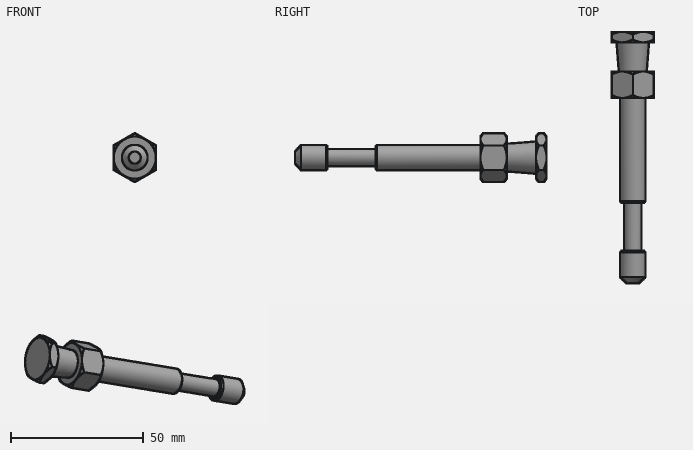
import cadquery as cq
import math

total_length = 95.0
hex_across_flats = 16.0
corner_bevel_depth = 1.0

head_thickness = 4.0
nut_start = 15.0
nut_thickness = 10.0

collar_large_radius = 6.2
collar_small_radius = 5.3

shaft_radius = 4.8
shaft_end = 64.6
neck_radius = 3.3
tip_start = 82.65
edge_chamfer = 0.7
nose_length = 2.4
nose_radius = 2.3

head_face_y = total_length / 2


def beveled_hexagon(start, thickness):
    """Hexagonal prism with corners on +Z and -Z and both ends turned conically."""
    face_radius = hex_across_flats / 2
    corner_radius = face_radius / math.cos(math.pi / 6)
    prism = (
        cq.Workplane("XZ", origin=(0, head_face_y - start, 0))
        .transformed(rotate=(0, 0, 90))
        .polygon(6, 2 * corner_radius)
        .extrude(thickness)
    )
    near_y = head_face_y - start
    far_y = near_y - thickness
    envelope = (
        cq.Workplane("XY")
        .polyline([
            (0, near_y),
            (face_radius, near_y),
            (corner_radius, near_y - corner_bevel_depth),
            (corner_radius, far_y + corner_bevel_depth),
            (face_radius, far_y),
            (0, far_y),
        ])
        .close()
        .revolve(360, (0, 0, 0), (0, 1, 0))
    )
    return prism.intersect(envelope)


def turned_body():
    """Tapered collar, shaft, narrow neck and pointed tip revolved about Y."""
    profile = [
        (0, 0),
        (collar_large_radius, 0),
        (collar_large_radius, head_thickness),
        (collar_small_radius, nut_start),
        (shaft_radius, nut_start),
        (shaft_radius, shaft_end - edge_chamfer),
        (shaft_radius - edge_chamfer, shaft_end),
        (neck_radius, shaft_end),
        (neck_radius, tip_start),
        (shaft_radius - edge_chamfer, tip_start),
        (shaft_radius, tip_start + edge_chamfer),
        (shaft_radius, total_length - nose_length),
        (nose_radius, total_length),
        (0, total_length),
    ]
    return (
        cq.Workplane("XY")
        .polyline([(radius, head_face_y - station) for radius, station in profile])
        .close()
        .revolve(360, (0, 0, 0), (0, 1, 0))
    )


head = beveled_hexagon(0, head_thickness)
nut = beveled_hexagon(nut_start, nut_thickness)
result = turned_body().union(head).union(nut)